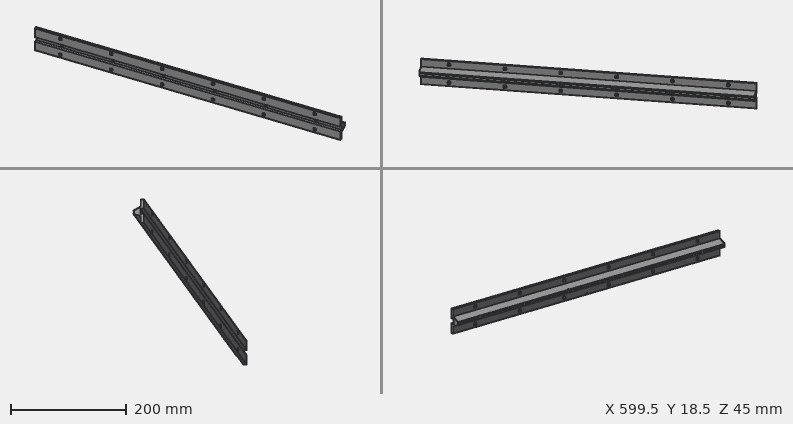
import cadquery as cq

length = 599.5
height = 45.0
depth = 18.5

flange_thickness = 5.5
groove_width = 9.5
groove_depth = 6.0
spine_root_width = 18.5
spine_tip_width = 6.0
tip_notch_depth = 1.0

hole_diameter = 5.5
holes_per_row = 6
hole_pitch = length / holes_per_row
flange_hole_offset = 16.0


def make_rail():
    """Extrude the symmetric cross-section along X."""
    front = -depth / 2
    back = depth / 2
    flange_back = front + flange_thickness
    groove_floor = front + groove_depth
    upper_half = [
        (groove_floor, groove_width / 2),
        (front, groove_width / 2),
        (front, height / 2),
        (flange_back, height / 2),
        (flange_back, spine_root_width / 2),
        (back, spine_tip_width / 2),
    ]
    notch_bottom = (back - tip_notch_depth, 0)
    lower_half = [(y, -z) for y, z in reversed(upper_half)]
    outline = upper_half + [notch_bottom] + lower_half
    return cq.Workplane("YZ").polyline(outline).close().extrude(length / 2, both=True)


def make_hole_cutters():
    """Three rows of cylinders: one per flange and one along the groove."""
    centers = []
    for row_z in (-flange_hole_offset, 0, flange_hole_offset):
        for index in range(holes_per_row):
            x = (index + 0.5) * hole_pitch - length / 2
            centers.append((x, row_z))
    return cq.Workplane("XZ").pushPoints(centers).circle(hole_diameter / 2).extrude(depth, both=True)


result = make_rail().cut(make_hole_cutters())